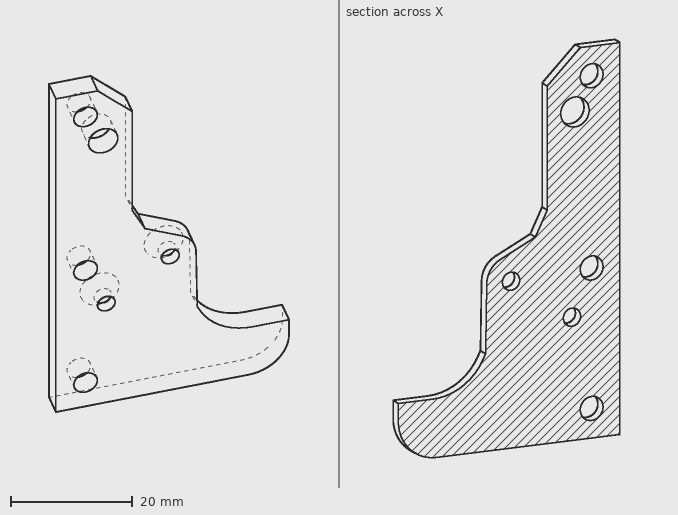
import cadquery as cq
import math

THICKNESS = 4.0
WIDTH = 40.0
HEIGHT = 67.0

ARM_WIDTH = 13.1
TOP_WIDTH = 7.2
TOP_CHAMFER_HEIGHT = 5.9
ARM_FOOT_Z = 39.9
SHOULDER_CORNER = (15.3, 35.6)

HOOK_TOP_Z = 10.1
HOOK_HEEL_RADIUS = 7.0
THROAT_RADIUS = 10.05
THROAT_START_Y = 33.8
THROAT_END_Y = 24.8
THROAT_LIP_Y = 24.25

PIN_DIAMETER = 4.0
PIN_EDGE_DISTANCE = 5.1
PIN_HEIGHTS = (PIN_EDGE_DISTANCE, 29.1, HEIGHT - PIN_EDGE_DISTANCE)
LARGE_HOLE_DIAMETER = 5.0
LARGE_HOLE_CENTER = (8.1, 56.1)
SCREW_DIAMETER = 3.0
SCREW_HEAD_DIAMETER = 6.7
COUNTERSINK_ANGLE = 90.0
SHOULDER_SCREW = (19.6, 28.55)
INNER_SCREW = (8.65, 21.1)

SHOULDER_RADIUS = 4.4


def polar(center, radius, angle):
    """Point on a circle at an angle measured from +Y towards +Z."""
    return (center[0] + radius * math.cos(angle), center[1] + radius * math.sin(angle))


def tangent_angle(center, radius, point, side):
    """Angle on the circle where the line from an outside point touches it."""
    dy = point[0] - center[0]
    dz = point[1] - center[1]
    return math.atan2(dz, dy) + side * math.acos(radius / math.hypot(dy, dz))


def make_plate():
    """Hooked plate outline, extruded through the thickness."""
    throat_center = (THROAT_START_Y, HOOK_TOP_Z + THROAT_RADIUS)
    throat_start_angle = -math.pi / 2
    throat_end_angle = -math.acos((THROAT_END_Y - throat_center[0]) / THROAT_RADIUS)
    throat_mid_angle = (throat_start_angle + throat_end_angle) / 2
    throat_end = polar(throat_center, THROAT_RADIUS, throat_end_angle)

    lip_slope = -1 / math.tan(throat_end_angle)
    throat_lip = (THROAT_LIP_Y, throat_end[1] + lip_slope * (THROAT_LIP_Y - THROAT_END_Y))

    lower_angle = tangent_angle(SHOULDER_SCREW, SHOULDER_RADIUS, throat_lip, 1)
    upper_angle = tangent_angle(SHOULDER_SCREW, SHOULDER_RADIUS, SHOULDER_CORNER, -1)
    middle_angle = (lower_angle + upper_angle) / 2

    heel_center = (WIDTH - HOOK_HEEL_RADIUS, HOOK_HEEL_RADIUS)

    return (
        cq.Workplane("YZ")
        .moveTo(0, 0)
        .lineTo(heel_center[0], 0)
        .threePointArc(
            polar(heel_center, HOOK_HEEL_RADIUS, -math.pi / 4),
            (WIDTH, heel_center[1]),
        )
        .lineTo(WIDTH, HOOK_TOP_Z)
        .lineTo(THROAT_START_Y, HOOK_TOP_Z)
        .threePointArc(polar(throat_center, THROAT_RADIUS, throat_mid_angle), throat_end)
        .lineTo(*throat_lip)
        .lineTo(*polar(SHOULDER_SCREW, SHOULDER_RADIUS, lower_angle))
        .threePointArc(
            polar(SHOULDER_SCREW, SHOULDER_RADIUS, middle_angle),
            polar(SHOULDER_SCREW, SHOULDER_RADIUS, upper_angle),
        )
        .lineTo(*SHOULDER_CORNER)
        .lineTo(ARM_WIDTH, ARM_FOOT_Z)
        .lineTo(ARM_WIDTH, HEIGHT - TOP_CHAMFER_HEIGHT)
        .lineTo(TOP_WIDTH, HEIGHT)
        .lineTo(0, HEIGHT)
        .close()
        .extrude(THICKNESS)
    )


def through_holes(diameter, centers):
    """Cylinders that cut straight through the plate."""
    return cq.Workplane("YZ").pushPoints(centers).circle(diameter / 2).extrude(THICKNESS)


def countersink(center):
    """Cone that seats a screw head in the X = 0 face."""
    head_radius = SCREW_HEAD_DIAMETER / 2
    cone_height = head_radius / math.tan(math.radians(COUNTERSINK_ANGLE / 2))
    cone = cq.Solid.makeCone(
        head_radius, 0, cone_height, cq.Vector(0, *center), cq.Vector(1, 0, 0)
    )
    return cq.Workplane(cone)


pin_centers = [(PIN_EDGE_DISTANCE, z) for z in PIN_HEIGHTS]
screw_centers = [SHOULDER_SCREW, INNER_SCREW]

result = make_plate()
result = result.cut(through_holes(PIN_DIAMETER, pin_centers))
result = result.cut(through_holes(LARGE_HOLE_DIAMETER, [LARGE_HOLE_CENTER]))
result = result.cut(through_holes(SCREW_DIAMETER, screw_centers))
for screw_center in screw_centers:
    result = result.cut(countersink(screw_center))